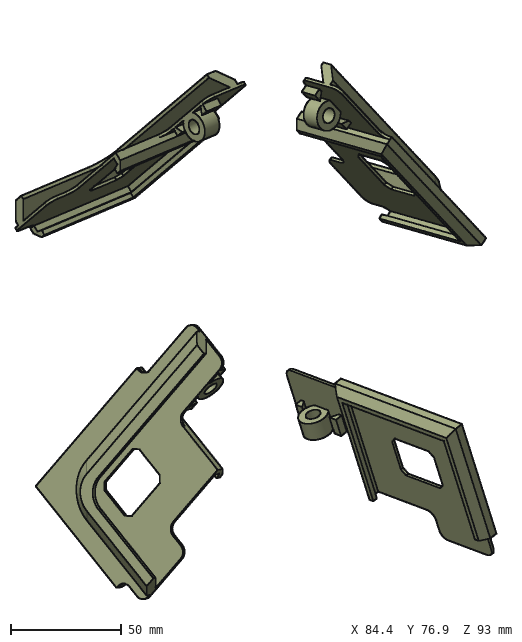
import cadquery as cq

TILT = 45

PLATE_THICKNESS = 1.5
PLATE_LENGTH = 79.9
PLATE_WIDTH = 62.4
OVERALL_LENGTH = 117.8
OVERALL_WIDTH = 76.9
LONG_TAB_START = 5.4
LONG_TAB_END = 31.2
SIDE_TAB_START = 5.7
SIDE_TAB_END = 40.2
TAB_RADIUS = 4.4

RAIL_DEPTH = 7.9
RAIL_CHAMFER = 3.8
RAIL_WALL = 3.25
FLANGE_REACH = 6.4
SLOT_BOTTOM = 4.65
FLANGE_EDGE_DEPTH = 5.5

RIB_HEIGHT = 9.6
RIB_OUTER_OFFSET = 11.6
RIB_OUTER_STEP = 2.2
RIB_INNER_OFFSET = 16.5
RIB_INNER_STEP = 1.9
RIB_OUTER_CENTRE = 30.7
RIB_INNER_CENTRE = 34.4
RIB_LOW_END_SHIFT = 0.5
RIB_SLOPE = 45

WINDOW_START_X = 26.9
WINDOW_END_X = 54.5
WINDOW_START_Y = 24.2
WINDOW_END_Y = 45.1
WINDOW_CHAMFER = 2.6

EYE_X = 99.5
EYE_DEPTH = 7.0
EYE_DIAMETER = 14.1
EYE_HOLE_DIAMETER = 7.0
CLIP_OUTER_DISTANCE = 13.4
CLIP_BASE = 1.8
CLIP_TIP = 4.4
CLIP_DEPTH = 5.2
HINGE_WIDTH = 9.3


def slab(start_x, end_x, start_y, end_y, bottom, top):
    """Box between distances along +X and along -Y from the plate corner."""
    size = (end_x - start_x, end_y - start_y, top - bottom)
    return cq.Workplane("XY").box(*size, centered=False).translate((start_x, -end_y, bottom))


def make_plate():
    square = slab(0, PLATE_LENGTH, 0, PLATE_WIDTH, -PLATE_THICKNESS, 0)
    long_tab = slab(PLATE_LENGTH / 2, OVERALL_LENGTH, LONG_TAB_START, LONG_TAB_END, -PLATE_THICKNESS, 0)
    side_tab = slab(SIDE_TAB_START, SIDE_TAB_END, PLATE_WIDTH / 2, OVERALL_WIDTH, -PLATE_THICKNESS, 0)
    plate = square.union(long_tab).union(side_tab)
    tab_corners = [
        (x, -y)
        for x in (PLATE_LENGTH, OVERALL_LENGTH)
        for y in (LONG_TAB_START, LONG_TAB_END)
    ] + [
        (x, -y)
        for x in (SIDE_TAB_START, SIDE_TAB_END)
        for y in (PLATE_WIDTH, OVERALL_WIDTH)
    ]
    for x, y in tab_corners:
        corner = cq.selectors.NearestToPointSelector((x, y, -PLATE_THICKNESS / 2))
        plate = plate.edges("|Z").edges(corner).fillet(TAB_RADIUS)
    return plate


def channel_block(side_profile):
    """Block with a (distance inward, height) profile on both X ends and on +Y, plain on -Y."""
    far_side = [(PLATE_LENGTH - inward, height) for inward, height in reversed(side_profile)]
    along_y = cq.Workplane("XZ").polyline(side_profile + far_side).close().extrude(PLATE_WIDTH)
    y_side = [(-inward, height) for inward, height in side_profile]
    open_side = [(-PLATE_WIDTH, side_profile[-1][1]), (-PLATE_WIDTH, side_profile[0][1])]
    along_x = cq.Workplane("YZ").polyline(y_side + open_side).close().extrude(PLATE_LENGTH)
    return along_y.intersect(along_x)


def make_rail():
    outside = channel_block([
        (0, 0),
        (0, RAIL_CHAMFER - RAIL_DEPTH),
        (RAIL_CHAMFER, -RAIL_DEPTH),
    ])
    inside = channel_block([
        (RAIL_WALL, -PLATE_THICKNESS),
        (RAIL_WALL, -SLOT_BOTTOM),
        (FLANGE_REACH, -FLANGE_EDGE_DEPTH),
        (FLANGE_REACH, -RAIL_DEPTH),
    ])
    return outside.cut(inside)


def rounded_quarter(offset, arc_centre, base, height, slope=0):
    """Large block starting at an offset from both plate sides, with its near corner rounded."""
    far = 2 * OVERALL_LENGTH
    radius = arc_centre - offset
    middle = arc_centre - radius * 0.5 ** 0.5
    return (
        cq.Workplane("XY", origin=(0, 0, base))
        .moveTo(offset, -far)
        .lineTo(offset, -arc_centre)
        .threePointArc((middle, -middle), (arc_centre, -offset))
        .lineTo(far, -offset)
        .lineTo(far, -far)
        .close()
        .extrude(height, taper=slope)
    )


def make_rib():
    outer_rise = RIB_HEIGHT - RIB_OUTER_STEP
    inner_rise = RIB_HEIGHT - RIB_INNER_STEP
    outside = rounded_quarter(RIB_OUTER_OFFSET, RIB_OUTER_CENTRE, 0, RIB_OUTER_STEP).union(
        rounded_quarter(RIB_OUTER_OFFSET, RIB_OUTER_CENTRE, RIB_OUTER_STEP, outer_rise, RIB_SLOPE)
    )
    inside = rounded_quarter(RIB_INNER_OFFSET, RIB_INNER_CENTRE, 0, inner_rise, RIB_SLOPE).union(
        rounded_quarter(RIB_INNER_OFFSET + inner_rise, RIB_INNER_CENTRE, inner_rise, RIB_INNER_STEP)
    )
    limits = slab(0, OVERALL_LENGTH, 0, OVERALL_WIDTH, 0, RIB_HEIGHT)
    return outside.cut(inside).translate((-RIB_LOW_END_SHIFT, 0, 0)).intersect(limits)


def make_window():
    window = slab(WINDOW_START_X, WINDOW_END_X, WINDOW_START_Y, WINDOW_END_Y, -PLATE_THICKNESS, 0)
    return window.edges("|Z").chamfer(WINDOW_CHAMFER)


def hinge_plane():
    """Workplane on the -Y edge of the long tab, extruding negatively into the part."""
    return cq.Workplane("XZ", origin=(EYE_X, -LONG_TAB_END, 0))


def make_eye():
    eye = hinge_plane().center(0, -EYE_DEPTH).circle(EYE_DIAMETER / 2).extrude(-HINGE_WIDTH)
    below_plate = slab(0, OVERALL_LENGTH, 0, OVERALL_WIDTH, -EYE_DEPTH - EYE_DIAMETER, -PLATE_THICKNESS / 2)
    hole = hinge_plane().center(0, -EYE_DEPTH).circle(EYE_HOLE_DIAMETER / 2).extrude(-HINGE_WIDTH)
    return eye.intersect(below_plate).cut(hole)


def make_clip(side):
    """Dovetail clip that widens toward the eye; side is -1 or 1 along X."""
    outer = side * CLIP_OUTER_DISTANCE
    top = -PLATE_THICKNESS / 2
    points = [
        (outer, top),
        (outer - side * CLIP_BASE, top),
        (outer - side * CLIP_BASE, -PLATE_THICKNESS),
        (outer - side * CLIP_TIP, -CLIP_DEPTH),
        (outer, -CLIP_DEPTH),
    ]
    return hinge_plane().polyline(points).close().extrude(-HINGE_WIDTH)


body = make_plate().union(make_rail()).union(make_rib()).cut(make_window()).union(make_eye())
for clip_side in (-1, 1):
    body = body.union(make_clip(clip_side))

result = body.rotate((0, 0, 0), (0, 1, 0), -TILT)